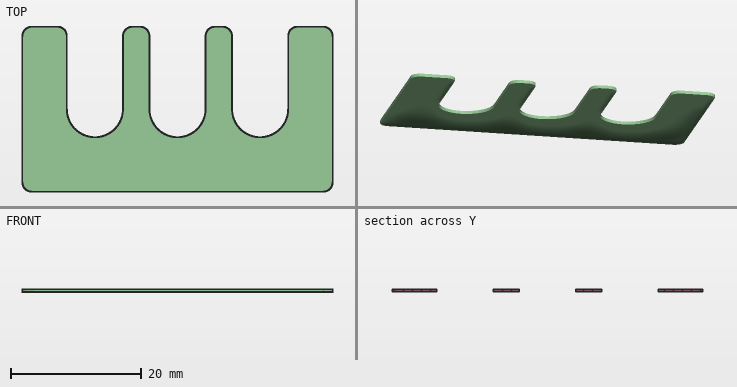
import cadquery as cq

length = 47.75
width = 25.4
thickness = 0.5
corner_radius = 1.5

slot_count = 3
slot_pitch = 12.7
slot_width = 8.6
slot_depth = 17.0


def slot_cutter(center_x):
    """Slot with a round inner end, open at the +Y edge of the plate."""
    radius = slot_width / 2
    edge_y = width / 2
    arc_y = edge_y - slot_depth + radius
    return (
        cq.Workplane("XY")
        .moveTo(center_x - radius, edge_y)
        .lineTo(center_x - radius, arc_y)
        .threePointArc((center_x, arc_y - radius), (center_x + radius, arc_y))
        .lineTo(center_x + radius, edge_y)
        .close()
        .extrude(thickness)
    )


plate = cq.Workplane("XY").box(length, width, thickness, centered=(True, True, False))

for index in range(slot_count):
    slot_x = (index - (slot_count - 1) / 2) * slot_pitch
    plate = plate.cut(slot_cutter(slot_x))

back_corners = plate.faces(">Y").edges("|Z")
front_corners = plate.faces("<Y").edges("|Z")
result = plate.newObject(back_corners.vals() + front_corners.vals()).fillet(corner_radius)